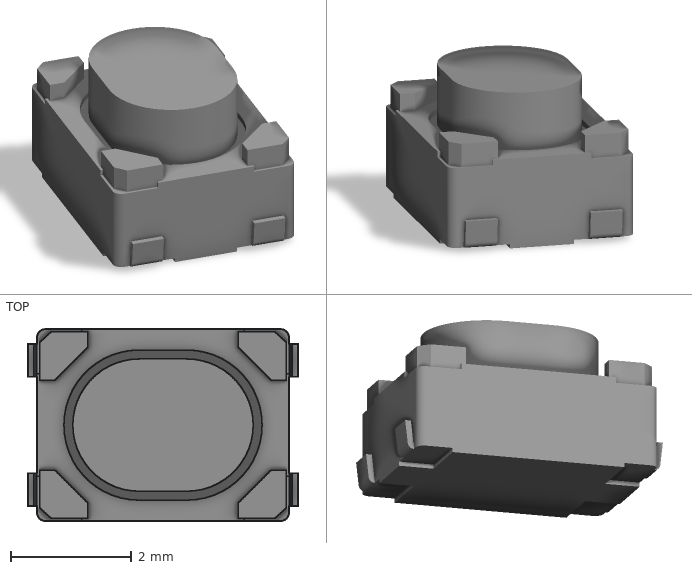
import cadquery as cq
import math

BODY_LENGTH = 4.2
BODY_WIDTH = 3.2
BODY_TOP = 1.45
BODY_CORNER_RADIUS = 0.15

FOOT_HEIGHT = 0.07
FOOT_HALF_LENGTH = 1.5
FOOT_HALF_WIDTH = 0.55

COVER_THICKNESS = 0.1
COVER_TOP = BODY_TOP + COVER_THICKNESS
NOTCH_HALF_LENGTH = 1.35
NOTCH_HALF_WIDTH = 0.85
NOTCH_INNER_CHAMFER = 0.36

BUTTON_LENGTH = 3.0
BUTTON_WIDTH = 2.2
BUTTON_TOP = 2.5
BUTTON_GAP = 0.15

POST_TOP = 1.85
POST_INSET = 0.05
POST_LENGTH = 0.8
POST_WIDTH = 0.8
POST_INNER_CHAMFER = 0.55
POST_OUTER_CHAMFER_X = 0.185
POST_OUTER_CHAMFER_Y = 0.17

TERMINAL_REACH = 2.25
TERMINAL_TOP = 0.56
TERMINAL_WIDTH = 0.55
TERMINAL_CENTER_Y = 1.075
TERMINAL_THICKNESS = 0.1
TERMINAL_LEAN = 6.5
TERMINAL_BEND_RADIUS = 0.11
TERMINAL_EMBED = 0.18

SIDES = (-1, 1)


def corner_blocks(half_length, half_width, bottom, height):
    """Four blocks filling the housing corners outside the given half sizes."""
    size_x = BODY_LENGTH / 2 - half_length
    size_y = BODY_WIDTH / 2 - half_width
    spacing_x = BODY_LENGTH - size_x
    spacing_y = BODY_WIDTH - size_y
    return (
        cq.Workplane("XY", origin=(0, 0, bottom))
        .rarray(spacing_x, spacing_y, 2, 2)
        .rect(size_x, size_y)
        .extrude(height)
    )


def rounded_end_block(length, width, bottom, top):
    """Upright block with semicircular ends."""
    return cq.Workplane("XY", origin=(0, 0, bottom)).slot2D(length, width).extrude(top - bottom)


def make_notches():
    """Cutters for the cover corners, each with its inner corner chamfered."""
    margin = 0.045
    reach_x = NOTCH_HALF_LENGTH + margin
    reach_y = NOTCH_HALF_WIDTH + margin
    inner_edges = cq.selectors.BoxSelector((-reach_x, -reach_y, BODY_TOP), (reach_x, reach_y, COVER_TOP))
    blocks = corner_blocks(NOTCH_HALF_LENGTH, NOTCH_HALF_WIDTH, BODY_TOP, COVER_THICKNESS)
    return blocks.edges("|Z").edges(inner_edges).chamfer(NOTCH_INNER_CHAMFER)


def make_housing():
    """Housing and cover, with notches at the top corners and relief below."""
    housing = (
        cq.Workplane("XY")
        .box(BODY_LENGTH, BODY_WIDTH, COVER_TOP, centered=(True, True, False))
        .edges("|Z")
        .fillet(BODY_CORNER_RADIUS)
    )
    foot_relief = corner_blocks(FOOT_HALF_LENGTH, FOOT_HALF_WIDTH, 0, FOOT_HEIGHT)
    return housing.cut(foot_relief).cut(make_notches())


def make_post(side_x, side_y):
    """Corner post with a large inner chamfer and a small outer one."""
    outer_x = BODY_LENGTH / 2 - POST_INSET
    outer_y = BODY_WIDTH / 2 - POST_INSET
    inner_x = outer_x - POST_LENGTH
    inner_y = outer_y - POST_WIDTH
    outline = [
        (inner_x + POST_INNER_CHAMFER, inner_y),
        (outer_x, inner_y),
        (outer_x, outer_y - POST_OUTER_CHAMFER_Y),
        (outer_x - POST_OUTER_CHAMFER_X, outer_y),
        (inner_x, outer_y),
        (inner_x, inner_y + POST_INNER_CHAMFER),
    ]
    return (
        cq.Workplane("XY", origin=(0, 0, BODY_TOP))
        .polyline([(side_x * x, side_y * y) for x, y in outline])
        .close()
        .extrude(POST_TOP - BODY_TOP)
    )


def make_terminal(side_x, side_y):
    """Strip leaving the housing at foot height and bending up along its end face."""
    lean = math.radians(TERMINAL_LEAN)
    slope = math.tan(lean)
    radius = TERMINAL_BEND_RADIUS
    bottom = FOOT_HEIGHT
    bend_center_z = bottom + radius

    bend_end_z = bend_center_z - radius * math.sin(lean)
    bend_end_x = TERMINAL_REACH - (TERMINAL_TOP - bend_end_z) * slope
    bend_center_x = bend_end_x - radius * math.cos(lean)
    bend_half_angle = (math.pi / 2 - lean) / 2
    bend_middle_x = bend_center_x + radius * math.sin(bend_half_angle)
    bend_middle_z = bend_center_z - radius * math.cos(bend_half_angle)

    inner_top_x = TERMINAL_REACH - TERMINAL_THICKNESS / math.cos(lean)
    inner_bend_z = bottom + TERMINAL_THICKNESS
    inner_bend_x = inner_top_x - (TERMINAL_TOP - inner_bend_z) * slope
    embedded_x = BODY_LENGTH / 2 - TERMINAL_EMBED

    start_y = side_y * TERMINAL_CENTER_Y + TERMINAL_WIDTH / 2
    return (
        cq.Workplane("XZ", origin=(0, start_y, 0))
        .moveTo(side_x * embedded_x, bottom)
        .lineTo(side_x * bend_center_x, bottom)
        .threePointArc((side_x * bend_middle_x, bend_middle_z), (side_x * bend_end_x, bend_end_z))
        .lineTo(side_x * TERMINAL_REACH, TERMINAL_TOP)
        .lineTo(side_x * inner_top_x, TERMINAL_TOP)
        .lineTo(side_x * inner_bend_x, inner_bend_z)
        .lineTo(side_x * embedded_x, inner_bend_z)
        .close()
        .extrude(TERMINAL_WIDTH)
    )


opening_length = BUTTON_LENGTH + 2 * BUTTON_GAP
opening_width = BUTTON_WIDTH + 2 * BUTTON_GAP
opening = rounded_end_block(opening_length, opening_width, BODY_TOP, COVER_TOP)
button = rounded_end_block(BUTTON_LENGTH, BUTTON_WIDTH, BODY_TOP, BUTTON_TOP)

result = make_housing().cut(opening).union(button)
for x_sign in SIDES:
    for y_sign in SIDES:
        result = result.union(make_post(x_sign, y_sign))
        result = result.union(make_terminal(x_sign, y_sign))